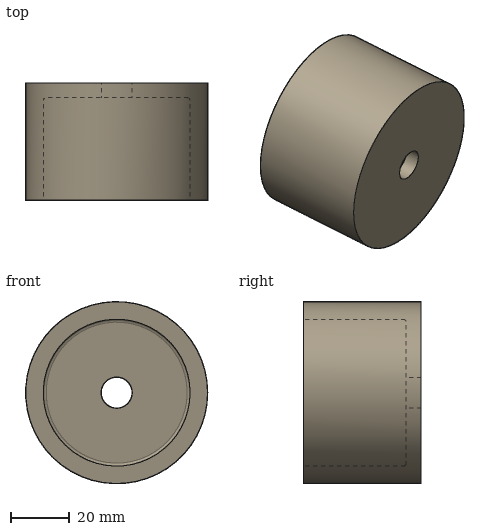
import cadquery as cq

outer_diameter = 62.0
length = 40.0
bore_diameter = 50.0
bolt_hole_diameter = 10.5
floor_thickness = 5.0
floor_fillet = 1.0

bore_depth = length - floor_thickness


def cylinder_along_y(diameter, start, depth):
    """Solid cylinder on the Y axis, from y = start towards +Y."""
    plane = cq.Workplane("XZ", origin=(0, start, 0))
    return plane.circle(diameter / 2).extrude(-depth)


bore = cylinder_along_y(bore_diameter, 0, bore_depth).faces(">Y").fillet(floor_fillet)

bolt_hole = cylinder_along_y(bolt_hole_diameter, bore_depth, floor_thickness)

result = cylinder_along_y(outer_diameter, 0, length).cut(bore).cut(bolt_hole)